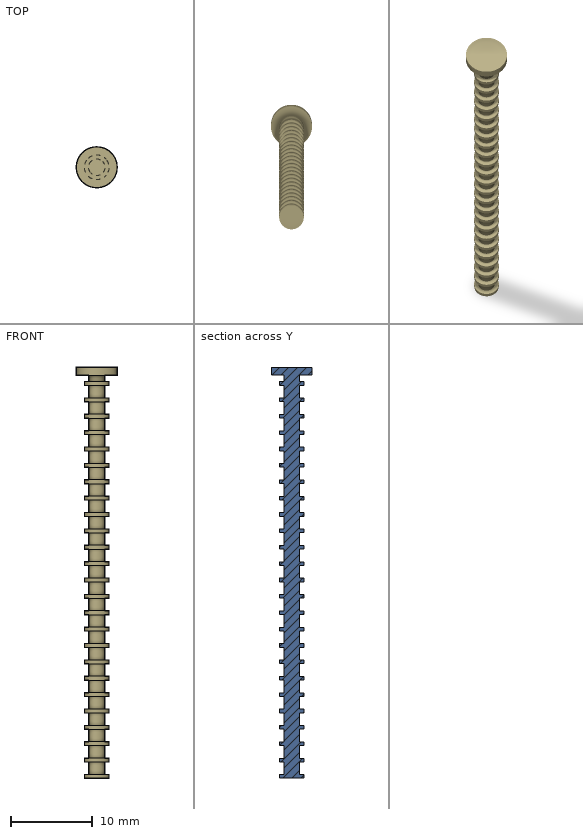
import cadquery as cq

total_length = 50.25
head_diameter = 5.0
head_thickness = 1.0
shaft_diameter = 2.0

ring_diameter = 3.0
ring_thickness = 0.5
ring_count = 25
top_ring_center = 48.25
bottom_ring_center = ring_thickness / 2
ring_pitch = (top_ring_center - bottom_ring_center) / (ring_count - 1)


def disc(diameter, thickness, bottom):
    """Upright cylinder on the Z axis, standing on the given height."""
    return cq.Workplane("XY").workplane(offset=bottom).circle(diameter / 2).extrude(thickness)


part = disc(shaft_diameter, total_length, 0)

part = part.union(disc(head_diameter, head_thickness, total_length - head_thickness))

for index in range(ring_count):
    part = part.union(disc(ring_diameter, ring_thickness, index * ring_pitch))

result = part